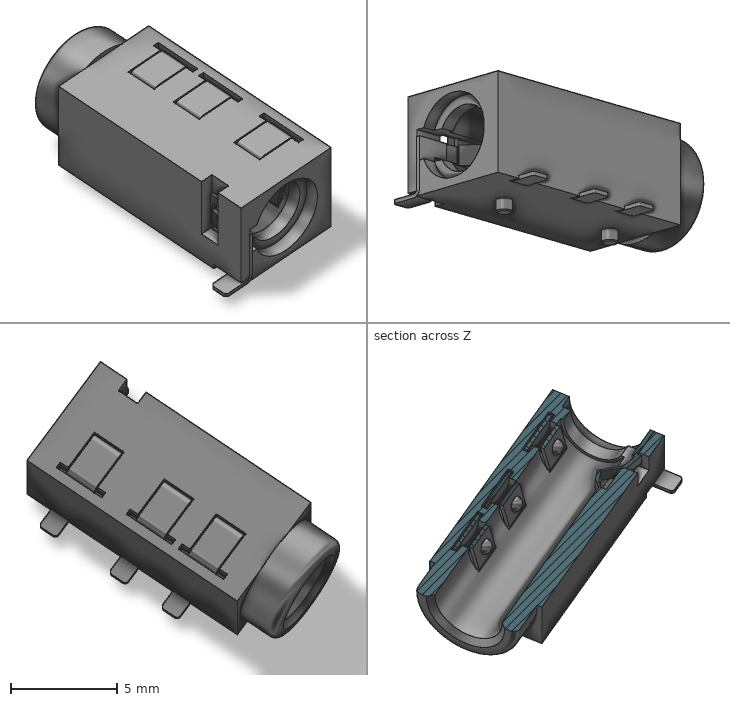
import cadquery as cq


length = 14.1
collar_length = 2.0
collar_radius = 2.75
collar_rounding = 0.35
box_width = 5.99
box_height = 4.99
bore_radius = 1.79
mouth_bevel = 0.3
rear_bore_radius = 1.62
rear_bore_start = 12.69
rear_recess_radius = bore_radius + mouth_bevel
rear_recess_start = 13.4
box_side = box_width / 2
box_top = box_height / 2

peg_radius = 0.4
peg_tip_z = -3.1
peg_bevel = 0.05
peg_root_z = -2.12
peg_places = (3.71, 10.7)

sheet = 0.2
bend_radius = 0.4
inner_bend_radius = bend_radius - sheet
foot_width = 1.0
overall_width = 8.0
foot_reach = overall_width / 2
foot_corner = 0.2
foot_bottom = -box_top - 0.05
foot_top = foot_bottom + sheet

contact_places = (4.45, 7.45, 11.46)
plate_width = 2.5
plate_outer = 2.43
plate_inner = plate_outer - sheet
plate_top = 1.97
arm_width = 1.6
arm_end = 0.03
hook_bottom = 1.9
tongue_root_z = 1.69
tongue_tip_y = 1.24
tongue_tip_z = -1.21
tongue_lean = 0.26
dome_radius = 0.4
dome_shift = 0.11
dome_center_y = 1.5
dome_center_z = -0.59

side_gap = 0.05
end_gap = 0.05
tongue_slot_floor = -1.31

pocket_start = 11.48
pocket_end = 12.58
pocket_floor = -0.82
pocket_back = 0.6 - box_side
pocket_back_high = 0.69 - box_side
ledge_z = 1.33
ledge_groove_height = 0.1
ledge_groove_depth = 0.07
ledge_groove_back = pocket_back_high + ledge_groove_depth
window_start = 11.62
window_half_height = 0.76
window_rim_top = 0.85
window_rim_back = pocket_back + 0.4
notch_start = 12.3
notch_top = -2.24

leaf_half_height = 0.42
nose_half_height = 0.51
leaf_wall = 0.21
nose_tip = (9.87, -1.72)
nose_bend = (10.15, -1.42)
nose_crest = (10.72, -1.23)
leaf_root = (11.53, -2.17)
leaf_knee = (window_start, -2.21)
leaf_end = 12.49
leaf_end_point = (leaf_end, -2.43)
switch_plate_inner = -2.23
switch_plate_outer = switch_plate_inner - sheet


def block(x_range, y_range, z_range):
    """Box between the given limits."""
    size = [high - low for low, high in (x_range, y_range, z_range)]
    corner = (x_range[0], y_range[0], z_range[0])
    return cq.Workplane("XY").box(*size, centered=False).translate(corner)


def centered_range(center, width):
    """Limits of a span of the given width around its center."""
    return (center - width / 2, center + width / 2)


def foot_with_bend(x_range, inner_face, plate_height):
    """Flat foot toward +Y that bends up into a plate whose inner face is at y = inner_face."""
    outer = block(x_range, (inner_face, foot_reach), (foot_bottom, plate_height))
    outer = outer.edges("|X and <Z and <Y").fillet(bend_radius)
    above = block(x_range, (inner_face + sheet, foot_reach), (foot_top, plate_height))
    above = above.edges("|X and <Z and <Y").fillet(inner_bend_radius)
    return outer.cut(above).edges("|Z and >Y").fillet(foot_corner)


def tongue(x_range):
    """Spring tongue that leans from the plate down into the bore and carries a contact dome."""
    root_y = tongue_tip_y + tongue_lean * (tongue_root_z - tongue_tip_z)
    strip = (
        cq.Workplane("YZ", origin=(x_range[0], 0, 0))
        .moveTo(tongue_tip_y, tongue_tip_z)
        .lineTo(root_y, tongue_root_z)
        .lineTo(root_y + sheet, tongue_root_z - sheet * tongue_lean)
        .lineTo(tongue_tip_y + sheet, tongue_tip_z - sheet * tongue_lean)
        .close()
        .extrude(x_range[1] - x_range[0])
    )
    bridge = block(x_range, (root_y, plate_outer), (tongue_root_z - sheet, tongue_root_z))
    dome_x = (x_range[0] + x_range[1]) / 2 + dome_shift
    dome = cq.Workplane("XY").sphere(dome_radius).translate((dome_x, dome_center_y, dome_center_z))
    outside = block(x_range, (dome_center_y, box_side), (-box_top, box_top))
    return strip.union(bridge).union(dome.cut(outside))


def spring_contact(center):
    """Foot, winged upright plate, arm folded over the top and tongue, as one piece."""
    plate_range = centered_range(center, plate_width)
    arm_range = centered_range(center, arm_width)
    foot_range = (plate_range[1] - foot_width, plate_range[1])

    foot = foot_with_bend(foot_range, plate_inner, plate_top)
    plate = block(plate_range, (plate_inner, plate_outer), (tongue_slot_floor, plate_top))
    arm = block(arm_range, (arm_end, plate_outer), (hook_bottom, box_top))
    arm = arm.edges("|X and >Z").fillet(bend_radius)
    under_arm = block(arm_range, (arm_end + sheet, plate_inner), (hook_bottom, box_top - sheet))
    under_arm = under_arm.edges("|X and >Z").fillet(inner_bend_radius)
    return foot.union(plate).union(arm.cut(under_arm)).union(tongue(arm_range))


def spring_contact_slot(center):
    """Room in the housing for one spring contact: T-shaped top opening and tongue cavity."""
    wide = centered_range(center, plate_width + 2 * side_gap)
    narrow = centered_range(center, arm_width + 2 * side_gap)
    back = plate_outer + end_gap
    plate_slot = block(wide, (plate_inner - end_gap, back), (tongue_slot_floor, box_top))
    arm_slot = block(narrow, (arm_end, back), (hook_bottom, box_top))
    cavity = block(narrow, (tongue_tip_y, back), (tongue_slot_floor, hook_bottom))
    return plate_slot.union(arm_slot).union(cavity)


def bent_leaf(inner_points, half_height):
    """Sheet strip whose inner face follows the given (x, y) points, centered on z = 0."""
    outer_points = [(x, y - leaf_wall) for x, y in reversed(inner_points)]
    profile = cq.Workplane("XY", origin=(0, 0, -half_height)).polyline(inner_points + outer_points)
    return profile.close().extrude(2 * half_height)


def switch_contact():
    """Foot toward -Y, upright plate, and a leaf that slants inward to a nose in the bore."""
    foot_range = (length - foot_width, length)
    foot = foot_with_bend(foot_range, -switch_plate_inner, leaf_half_height).mirror("XZ")
    link = block(
        (leaf_end - sheet, length),
        (switch_plate_outer, switch_plate_inner),
        (-leaf_half_height, leaf_half_height),
    )
    leaf = bent_leaf([leaf_root, leaf_knee, leaf_end_point], leaf_half_height)
    nose = bent_leaf([nose_tip, nose_bend, nose_crest, leaf_root], nose_half_height)
    return foot.union(link).union(leaf).union(nose)


def switch_openings():
    """Side pocket with an undercut ledge, window into the bore, nose room and bottom notch."""
    pocket_range = (pocket_start, pocket_end)
    low = block(pocket_range, (-box_side, pocket_back), (pocket_floor, box_top))
    high = block(pocket_range, (-box_side, pocket_back_high), (ledge_z, box_top))
    groove_range = (ledge_z, ledge_z + ledge_groove_height)
    groove = block(pocket_range, (pocket_back, ledge_groove_back), groove_range)
    window_range = (-window_half_height, window_half_height)
    window = block((window_start, length), (pocket_back, 0), window_range)
    rim = (
        cq.Workplane("YZ", origin=(window_start, 0, 0))
        .moveTo(pocket_back, window_half_height)
        .lineTo(pocket_back, window_rim_top)
        .lineTo(window_rim_back, window_half_height)
        .close()
        .extrude(pocket_end - window_start)
    )
    nose_room = block((nose_tip[0], window_start), (leaf_root[1], 0), window_range)
    notch = block((notch_start, length), (-box_side, switch_plate_outer), (-box_top, notch_top))
    return low.union(high).union(groove).union(window).union(rim).union(nose_room).union(notch)


def peg(center_x):
    """Round locating peg with a bevelled tip."""
    pin = cq.Workplane("XY", origin=(center_x, 0, peg_tip_z)).circle(peg_radius)
    pin = pin.extrude(peg_root_z - peg_tip_z)
    return pin.faces("<Z").chamfer(peg_bevel)


def bore():
    """Bevelled plug bore with a narrower rear end, as one turned shape."""
    mouth_radius = bore_radius + mouth_bevel
    return (
        cq.Workplane("XY")
        .moveTo(0, 0)
        .lineTo(0, mouth_radius)
        .lineTo(mouth_bevel, bore_radius)
        .lineTo(rear_bore_start, bore_radius)
        .lineTo(rear_bore_start, rear_bore_radius)
        .lineTo(rear_recess_start, rear_bore_radius)
        .lineTo(rear_recess_start, rear_recess_radius)
        .lineTo(length, rear_recess_radius)
        .lineTo(length, 0)
        .close()
        .revolve(360, (0, 0, 0), (1, 0, 0))
    )


def housing_body(contacts):
    """Box with the plug collar and pegs, opened for the bore and all contacts."""
    collar = cq.Workplane("YZ").circle(collar_radius).extrude(collar_length)
    collar = collar.faces("<X").edges().fillet(collar_rounding)
    body = block((collar_length, length), (-box_side, box_side), (-box_top, box_top)).union(collar)
    for place in peg_places:
        body = body.union(peg(place))
    body = body.cut(bore()).cut(switch_openings())
    for place in contact_places:
        body = body.cut(spring_contact_slot(place))
    for contact in contacts:
        body = body.cut(contact)
    return body


spring_contacts = [spring_contact(place) for place in contact_places]
switch = switch_contact()
housing = housing_body(spring_contacts + [switch])

result = cq.Compound.makeCompound(
    [housing.val(), *[contact.val() for contact in spring_contacts], switch.val()]
)